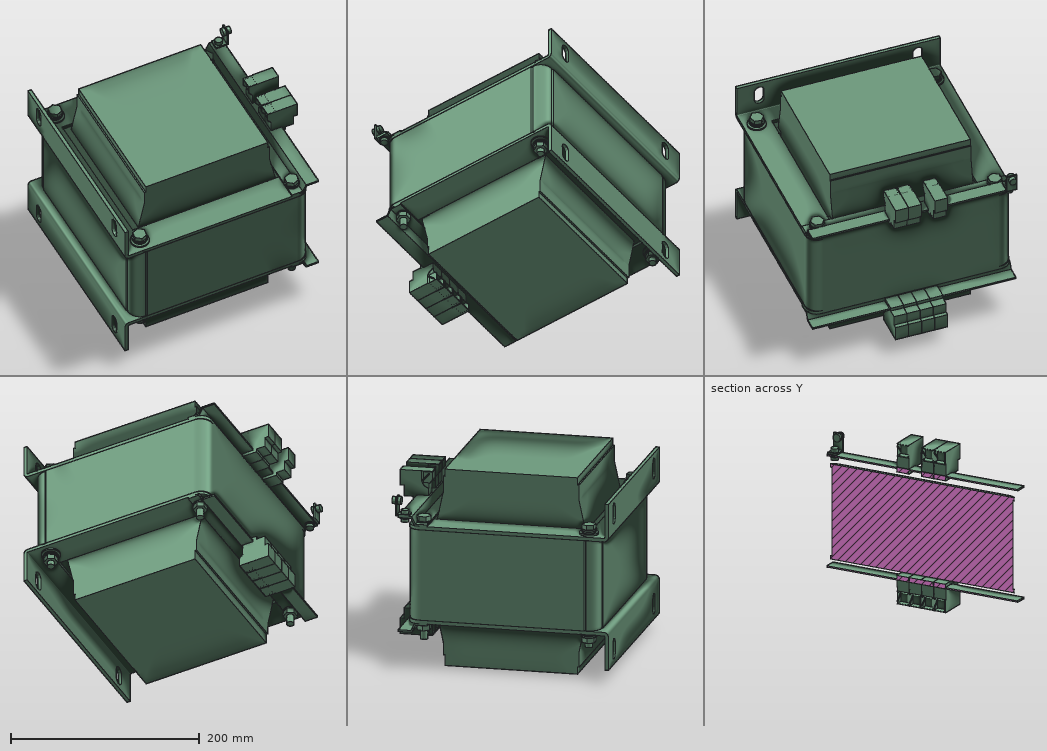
import cadquery as cq
import math


overall_width = 231.0

core_width = 230.5
core_depth = 209.7
core_height = 99.5
front_corner_inset = 0.7
core_corner_radius = 14.9
window_width = 167.5
core_window_depth = 144.2
slit_width = 2.0
slit_depth = 2.0
slit_from_corner = 15.9

coil_width = 159.5
coil_height = 216.5
coil_cap_depth = 144.7
coil_shoulder_depth = 148.2
coil_foot_depth = 162.5
coil_cap_z = 100.4
coil_back_bottom_cap_z = 96.6
coil_slope_top_z = 83.3

plate_thickness = 4.0
plate_window_depth = 180.0
plate_corner_radius = 13.0
flange_front_y = -114.7
flange_end_z = 91.5
bend_outer_radius = 5.2
slot_width = 11.2
slot_length = 22.3
slot_spacing = 180.0
slot_z = 74.5

strip_thickness = 2.0
strip_front_y = 83.3
strip_bend_low_y = 96.0
strip_bend_high_y = 99.9
strip_back_y = 114.7
strip_rise = 8.0

block_pitch = 14.9
block_width = 14.5
block_row_start_x = -31.0
block_count = 4
missing_top_block = 1
block_back_y = 133.0
block_heel_y = 128.5
block_neck_y = 101.9
block_front_y = 98.0
block_top_z = 90.5
block_heel_z = 73.4
block_slope_low_z = 75.8
block_slope_high_z = 80.8
wire_entry_width = 11.6
wire_entry_low_z = 77.3
wire_entry_high_z = 89.2
wire_entry_depth = 10.0
relief_depth = 0.5
relief_back_y = 109.5
relief_arc_y = 107.3
relief_arc_z = 75.0
relief_low_z = 71.5
lever_low_y = 108.8
lever_low_z = 79.5
lever_high_y = 101.4
lever_high_z = 87.5
lever_groove_width = 1.2
lever_groove_depth = 1.2
foot_front_y = 101.4
foot_back_y = 118.7
foot_thickness = 3.7

bolt_spacing_x = 201.7
bolt_spacing_y = 180.0
bolt_diameter = 8.0
hex_corners = 15.4
head_turn = -7.6
head_top_z = 64.5
head_height = 5.0
flat_washer_diameter = 20.3
flat_washer_thickness = 1.7
lock_washer_diameter = 16.5
spacer_diameter = 14.5
lock_washer_thickness = 2.0
low_head_height = 5.5
low_head_turn = 30
thin_washer_thickness = 1.0
nut_height = 6.0
nut_turn = 0
back_bolt_end_z = -73.9
front_bolt_end_z = -71.0

earth_width = 11.2
earth_front_y = 102.8
earth_back_y = 117.5
earth_sheet = 1.7
earth_top_z = 83.8
earth_screw_y = 108.5
earth_screw_diameter = 8.2
earth_screw_head_height = 4.2
earth_nut_height = 3.7
earth_washer_diameter = 10.5
earth_washer_thickness = 1.5
clamp_z = 79.3
clamp_head_diameter = 8.0
clamp_disc_diameter = 9.0
clamp_head_height = 4.5
clamp_disc_thickness = 3.2

core_top_z = core_height / 2
plate_top_z = core_top_z + plate_thickness
core_back_y = core_depth / 2
raised_head_z = head_top_z - head_height
earth_x = (earth_width - overall_width) / 2
strip_low_top_z = plate_top_z + strip_thickness
strip_high_z = plate_top_z + strip_rise
strip_high_top_z = strip_high_z + strip_thickness


def extrude_x(outline, x_start, length):
    """Extrude a closed (y, z) outline along +X."""
    return cq.Workplane("YZ", origin=(x_start, 0, 0)).polyline(outline).close().extrude(length)


def disc(x, y, z, diameter, height):
    """Upright cylinder with its lower face at z."""
    return cq.Workplane("XY", origin=(x, y, z)).circle(diameter / 2).extrude(height)


def hexagon(x, y, z, height, turn):
    """Upright hexagonal head or nut with its lower face at z."""
    prism = cq.Workplane("XY").polygon(6, hex_corners).extrude(height)
    return prism.rotate((0, 0, 0), (0, 0, 1), turn).translate((x, y, z))


def flip(body):
    """Mirror a top part to the bottom."""
    return body.mirror("XY")


def make_core_outline():
    """Right half of the core outline, closed along the Y axis."""
    right_x = core_width / 2
    front_y = -core_back_y
    inset_x = right_x - front_corner_inset
    inset_y = front_y + front_corner_inset
    slit_start = slit_from_corner + slit_width / 2
    slit_end = slit_from_corner - slit_width / 2
    round_radius = slit_end - front_corner_inset
    arc_offset = round_radius * (1 - math.sqrt(0.5))
    return (
        cq.Workplane("XY", origin=(0, 0, -core_top_z))
        .moveTo(0, front_y)
        .lineTo(right_x - slit_start, front_y)
        .lineTo(right_x - slit_from_corner, front_y + slit_depth)
        .lineTo(right_x - slit_end, inset_y)
        .threePointArc((inset_x - arc_offset, inset_y + arc_offset), (inset_x, front_y + slit_end))
        .lineTo(right_x - slit_depth, front_y + slit_from_corner)
        .lineTo(right_x, front_y + slit_start)
        .lineTo(right_x, core_back_y)
        .lineTo(0, core_back_y)
        .close()
    )


def make_core():
    half = make_core_outline().extrude(core_height)
    half = half.edges("|Z and >X and >Y").fillet(core_corner_radius)
    core = half.union(half.mirror("YZ"))
    return core.cut(cq.Workplane("XY").box(window_width, core_window_depth, core_height))


def coil_side(side_y, side_z, cap_z):
    """Coil outline of one quarter, from the core outwards to the cap."""
    return [
        (side_y * core_window_depth / 2, side_z * core_top_z),
        (side_y * coil_foot_depth / 2, side_z * core_top_z),
        (side_y * coil_shoulder_depth / 2, side_z * coil_slope_top_z),
        (side_y * coil_shoulder_depth / 2, side_z * cap_z),
        (side_y * coil_cap_depth / 2, side_z * cap_z),
        (side_y * coil_cap_depth / 2, side_z * coil_height / 2),
    ]


def make_coil():
    outline = coil_side(-1, 1, coil_cap_z)
    outline += reversed(coil_side(1, 1, coil_cap_z))
    outline += coil_side(1, -1, coil_back_bottom_cap_z)
    outline += reversed(coil_side(-1, -1, coil_cap_z))
    return extrude_x(outline, -coil_width / 2, coil_width)


def make_mounting_plate():
    flange_back_y = flange_front_y + plate_thickness
    angle = extrude_x(
        [
            (core_back_y, core_top_z),
            (flange_front_y, core_top_z),
            (flange_front_y, flange_end_z),
            (flange_back_y, flange_end_z),
            (flange_back_y, plate_top_z),
            (core_back_y, plate_top_z),
        ],
        -overall_width / 2,
        overall_width,
    )
    angle = angle.edges("|X and <Y and <Z").fillet(bend_outer_radius)
    inner_corner = cq.selectors.NearestToPointSelector((0, flange_back_y, plate_top_z))
    angle = angle.edges(inner_corner).fillet(bend_outer_radius - plate_thickness)
    angle = angle.edges("|Z and >Y").fillet(plate_corner_radius)
    angle = angle.cut(cq.Workplane("XY").box(window_width, plate_window_depth, 2 * plate_top_z))
    slots = (
        cq.Workplane("XZ", origin=(0, flange_back_y, slot_z))
        .pushPoints([(-slot_spacing / 2, 0), (slot_spacing / 2, 0)])
        .slot2D(slot_length, slot_width, 90)
        .extrude(plate_thickness)
    )
    return angle.cut(slots)


def make_strip():
    web_shift = strip_thickness / 2
    outline = [
        (strip_front_y, plate_top_z),
        (strip_bend_low_y + web_shift, plate_top_z),
        (strip_bend_high_y + web_shift, strip_high_z),
        (strip_back_y, strip_high_z),
        (strip_back_y, strip_high_top_z),
        (strip_bend_high_y, strip_high_top_z),
        (strip_bend_low_y, strip_low_top_z),
        (strip_front_y, strip_low_top_z),
    ]
    return extrude_x(outline, -overall_width / 2, overall_width)


def make_block_relief(x_start):
    """Shallow relief in the -X side of a block, open to the front, with a slanted groove in it."""
    relief = (
        cq.Workplane("YZ", origin=(x_start, 0, 0))
        .moveTo(block_front_y, block_top_z)
        .lineTo(relief_back_y, block_top_z)
        .lineTo(relief_back_y, lever_low_z)
        .threePointArc((relief_arc_y, relief_arc_z), (block_neck_y, relief_low_z))
        .lineTo(block_front_y, relief_low_z)
        .close()
        .extrude(relief_depth)
    )
    run_y = lever_high_y - lever_low_y
    run_z = lever_high_z - lever_low_z
    middle_y = (lever_low_y + lever_high_y) / 2
    middle_z = (lever_low_z + lever_high_z) / 2
    groove = (
        cq.Workplane("YZ", origin=(x_start, middle_y, middle_z))
        .slot2D(math.hypot(run_y, run_z), lever_groove_width, math.degrees(math.atan2(run_z, run_y)))
        .extrude(lever_groove_depth)
    )
    return relief.union(groove)


def make_terminal_block(index):
    x_start = block_row_start_x + index * block_pitch
    body = extrude_x(
        [
            (block_neck_y, strip_high_z),
            (block_neck_y, block_slope_low_z),
            (block_front_y, block_slope_high_z),
            (block_front_y, block_top_z),
            (block_back_y, block_top_z),
            (block_back_y, block_heel_z),
            (block_heel_y, block_heel_z),
            (block_heel_y, strip_high_z),
        ],
        x_start,
        block_width,
    )
    foot = cq.Workplane("XY", origin=(x_start, foot_front_y, strip_high_z - foot_thickness)).box(
        block_width, foot_back_y - foot_front_y, foot_thickness, centered=False
    )
    wire_entry = cq.Workplane(
        "XY", origin=(x_start + (block_width - wire_entry_width) / 2, block_front_y, wire_entry_low_z)
    ).box(wire_entry_width, wire_entry_depth, wire_entry_high_z - wire_entry_low_z, centered=False)
    return body.cut(wire_entry).cut(make_block_relief(x_start)).union(foot)


def make_washers(x, y, seat_z):
    """Spacer and lock washer filling the space from seat_z up to a raised head."""
    spacer = disc(x, y, seat_z, spacer_diameter, raised_head_z - seat_z)
    lock_washer_z = raised_head_z - lock_washer_thickness
    return spacer.union(disc(x, y, lock_washer_z, lock_washer_diameter, lock_washer_thickness))


def make_raised_head(x, y, seat_z):
    """Hexagon head standing on a spacer and a lock washer."""
    head = hexagon(x, y, raised_head_z, head_height, head_turn)
    return make_washers(x, y, seat_z).union(head)


def make_low_head(x, y, seat_z):
    """Hexagon head on one thin washer."""
    washer = disc(x, y, seat_z, lock_washer_diameter, thin_washer_thickness)
    return washer.union(hexagon(x, y, seat_z + thin_washer_thickness, low_head_height, low_head_turn))


def make_front_bolt(x):
    y = -bolt_spacing_y / 2
    flat_washer = disc(x, y, plate_top_z, flat_washer_diameter, flat_washer_thickness)
    seat_z = plate_top_z + flat_washer_thickness
    top = flat_washer.union(make_raised_head(x, y, seat_z))
    bottom = flat_washer.union(make_washers(x, y, seat_z))
    bottom = bottom.union(hexagon(x, y, raised_head_z, nut_height, nut_turn))
    shank = disc(x, y, front_bolt_end_z, bolt_diameter, plate_top_z - front_bolt_end_z)
    return top.union(flip(bottom)).union(shank)


def make_back_bolt(x, head):
    y = bolt_spacing_y / 2
    spacer = disc(x, y, strip_low_top_z, spacer_diameter, flat_washer_thickness)
    nut = hexagon(x, y, strip_low_top_z + flat_washer_thickness, nut_height, nut_turn)
    shank = disc(x, y, back_bolt_end_z, bolt_diameter, plate_top_z - back_bolt_end_z)
    return head(x, y, strip_low_top_z).union(flip(spacer.union(nut))).union(shank)


def make_earth_terminal():
    bracket = extrude_x(
        [
            (earth_front_y, strip_high_top_z),
            (earth_back_y, strip_high_top_z),
            (earth_back_y, earth_top_z),
            (earth_back_y - earth_sheet, earth_top_z),
            (earth_back_y - earth_sheet, strip_high_top_z + earth_sheet),
            (earth_front_y, strip_high_top_z + earth_sheet),
        ],
        earth_x - earth_width / 2,
        earth_width,
    )
    head_z = strip_high_top_z + earth_sheet
    washer_z = strip_high_z - earth_washer_thickness
    nut_z = washer_z - earth_nut_height
    for start_z, diameter, height in (
        (head_z, earth_screw_diameter, earth_screw_head_height),
        (washer_z, earth_washer_diameter, earth_washer_thickness),
        (nut_z, earth_screw_diameter, earth_nut_height),
    ):
        bracket = bracket.union(disc(earth_x, earth_screw_y, start_z, diameter, height))
    wall_front_y = earth_back_y - earth_sheet
    for start_y, diameter, length in (
        (earth_back_y + clamp_head_height, clamp_head_diameter, clamp_head_height),
        (wall_front_y, clamp_disc_diameter, clamp_disc_thickness),
    ):
        plane = cq.Workplane("XZ", origin=(earth_x, start_y, clamp_z))
        bracket = bracket.union(plane.circle(diameter / 2).extrude(length))
    return bracket


result = make_core().union(make_coil())

for part in (make_mounting_plate(), make_strip()):
    result = result.union(part).union(flip(part))

for bolt_x, back_head in (
    (-bolt_spacing_x / 2, make_low_head),
    (bolt_spacing_x / 2, make_raised_head),
):
    result = result.union(make_front_bolt(bolt_x)).union(make_back_bolt(bolt_x, back_head))

for block_index in range(block_count):
    block = make_terminal_block(block_index)
    result = result.union(flip(block))
    if block_index != missing_top_block:
        result = result.union(block)

result = result.union(make_earth_terminal())